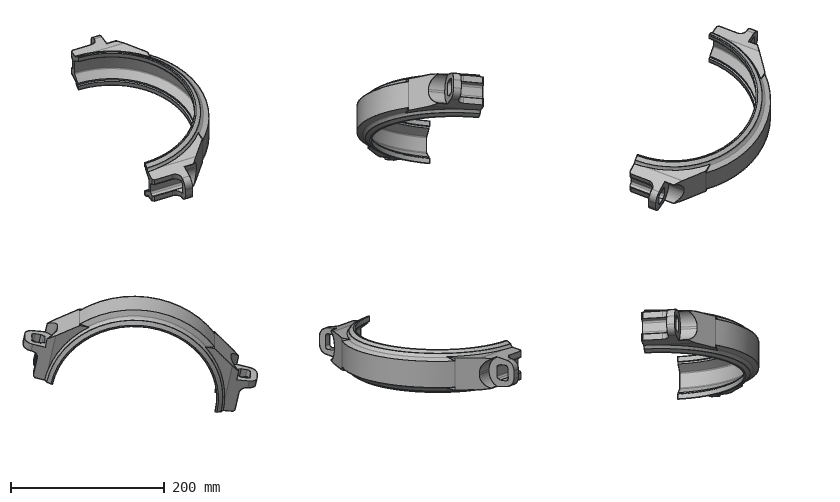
import cadquery as cq
import math

LENGTH = 308.0
WIDTH = 57.3

OUTER_RADIUS = 126.5
RIM_HALF = 17.5
NECK_RADIUS = 116.5
NECK_HALF = 22.2
NECK_FILLET = 6.8
FLANGE_RADIUS = 115.5
FLANGE_HALF = 25.5
CREST_RADIUS = 110.0
BORE_RADIUS = 107.8
GROOVE_RADIUS = 110.5
LIP_HALF = 22.0
TAPER_HALF = 19.5
CAVITY_RADIUS = 121.5
CAVITY_HALF = 10.8
CAVITY_FILLET = 2.0

PAD_HALF = 21.5
PAD_END_Y = 89.5
PAD_X = 127.0
PAD_SHOULDER_Y = 61.0
EAR_TOP = 48.0
EAR_THICKNESS = 10.5
POST_X = 133.7
POST_CHAMFER = 2.5
EAR_FILLET = 9.2

NARROWING_X = 117.0
TIP_HALF = 16.0
TIP_RADIUS = 12.3

SLOT_INNER_X = 127.2
SLOT_OUTER_X = 144.8
SLOT_HALF = 10.5
SLOT_RADIUS = 4.3
SLOT_SLOPE_X = 132.7
SLOT_INNER_HALF = 8.0
SLOT_INNER_RADIUS = 3.0
SEAT_INNER_X = 115.0
SEAT_RADIUS = 19.5
SEAT_FLAT = 2.8


def mirrored_section(upper_points):
    """Closed (radius, Z) outline from its upper half, listed from Z = 0 upward."""
    lower_points = [(radius, -z) for radius, z in reversed(upper_points)]
    return cq.Workplane("XZ").polyline(upper_points + lower_points).close()


def ring_blank():
    """Solid half disc with the outer shape of the ring."""
    section = mirrored_section([
        (OUTER_RADIUS, RIM_HALF),
        (NECK_RADIUS, NECK_HALF),
        (FLANGE_RADIUS, FLANGE_HALF),
        (CREST_RADIUS, WIDTH / 2),
        (0, WIDTH / 2),
    ])
    blank = section.revolve(180, (0, 0, 0), (0, 1, 0))
    neck_edges = cq.selectors.RadiusNthSelector(2)
    return blank.edges(neck_edges).fillet(NECK_FILLET)


def bore():
    """Pipe bore with the lip grooves and the tapered seal cavity."""
    section = mirrored_section([
        (CAVITY_RADIUS, CAVITY_HALF),
        (GROOVE_RADIUS, TAPER_HALF),
        (GROOVE_RADIUS, LIP_HALF),
        (BORE_RADIUS, LIP_HALF),
        (BORE_RADIUS, WIDTH / 2),
        (0, WIDTH / 2),
    ])
    body = section.revolve(360, (0, 0, 0), (0, 1, 0))
    widest = cq.selectors.RadiusNthSelector(-1)
    return body.edges(widest).fillet(CAVITY_FILLET)


def lug_plan():
    """Lug on the +X side seen along Z, with its shoulder, ear and post."""
    rim_x = math.sqrt(OUTER_RADIUS**2 - PAD_END_Y**2)
    neck_x = math.sqrt(NECK_RADIUS**2 - PAD_END_Y**2)
    ear_bottom = EAR_TOP - EAR_THICKNESS
    return (
        cq.Workplane("XY")
        .workplane(offset=-PAD_HALF)
        .moveTo(BORE_RADIUS, 0)
        .lineTo(POST_X - POST_CHAMFER, 0)
        .lineTo(POST_X, POST_CHAMFER)
        .lineTo(POST_X, ear_bottom - EAR_FILLET)
        .radiusArc((POST_X + EAR_FILLET, ear_bottom), EAR_FILLET)
        .lineTo(LENGTH / 2, ear_bottom)
        .lineTo(LENGTH / 2, EAR_TOP)
        .lineTo(PAD_X, EAR_TOP)
        .lineTo(PAD_X, PAD_SHOULDER_Y)
        .lineTo(rim_x, PAD_END_Y)
        .lineTo(neck_x, PAD_END_Y)
        .close()
        .extrude(2 * PAD_HALF)
    )


def ear_profile():
    """Tapering, round-ended lug outline seen along Y."""
    tip_x = LENGTH / 2
    return (
        cq.Workplane("XZ")
        .polyline([
            (0, -PAD_HALF),
            (NARROWING_X, -PAD_HALF),
            (tip_x, -TIP_HALF),
            (tip_x, TIP_HALF),
            (NARROWING_X, PAD_HALF),
            (0, PAD_HALF),
        ])
        .close()
        .extrude(-PAD_END_Y)
        .edges("|Y and >X")
        .fillet(TIP_RADIUS)
    )


def bolt_slot():
    """Bolt channel from the split plane up through the ear."""
    return (
        cq.Workplane("XZ")
        .polyline([
            (SLOT_INNER_X, -SLOT_INNER_HALF),
            (SLOT_SLOPE_X, -SLOT_HALF),
            (SLOT_OUTER_X, -SLOT_HALF),
            (SLOT_OUTER_X, SLOT_HALF),
            (SLOT_SLOPE_X, SLOT_HALF),
            (SLOT_INNER_X, SLOT_INNER_HALF),
        ])
        .close()
        .extrude(-EAR_TOP)
        .edges("|Y and >X")
        .fillet(SLOT_RADIUS)
        .edges("|Y and <X")
        .fillet(SLOT_INNER_RADIUS)
    )


def bolt_seat():
    """Round-ended relief cut into the shoulder down to the top of the ear."""
    seat_half = SEAT_RADIUS + SEAT_FLAT / 2
    seat_length = LENGTH / 2 - SEAT_INNER_X
    return (
        cq.Workplane("XZ", origin=(SEAT_INNER_X + seat_length / 2, EAR_TOP, 0))
        .rect(seat_length, 2 * seat_half)
        .extrude(EAR_TOP - PAD_END_Y)
        .edges("|Y and <X")
        .fillet(SEAT_RADIUS)
    )


lug = lug_plan().intersect(ear_profile())
left_lug = lug.mirror("YZ")
result = ring_blank().union(lug).union(left_lug).cut(bore())
for cutter in (bolt_slot(), bolt_seat()):
    result = result.cut(cutter).cut(cutter.mirror("YZ"))